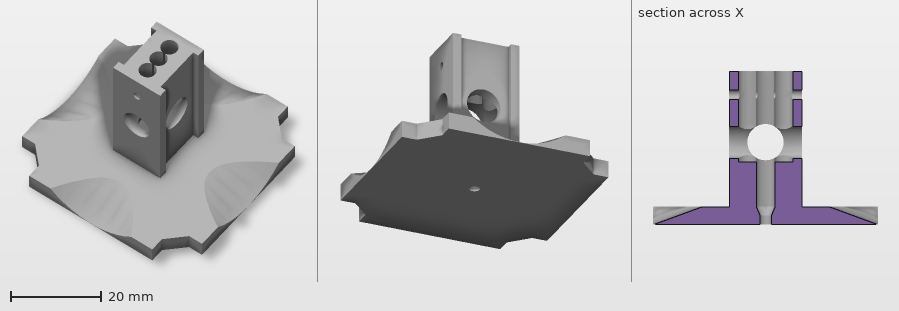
import cadquery as cq

plate_size = 49.8
plate_thickness = 4.0
corner_notch = 7.85
notch_shoulder = 3.6

scallop_rim_radius = 17.95
scallop_rim_depth = 3.95
scallop_length = 10.7

total_height = 34.0
tower_width = 13.05
tower_depth = 16.05
web_width = 10.15
flange_thickness = 2.05

side_hole_height = 18.25
side_hole_diameter_x = 8.0
side_hole_diameter_y = 7.0
pin_hole_diameter = 2.0
pin_hole_height = 28.75
top_hole_diameter = 4.05
top_hole_spacing = 4.0
top_hole_depth = 20.0
screw_hole_diameter = 2.4
countersink_depth = 2.0

half_plate = plate_size / 2
tower_height = total_height - plate_thickness


def make_plate():
    """Square plate with a stepped diagonal notch at each corner."""
    plate = cq.Workplane("XY").rect(plate_size, plate_size).extrude(plate_thickness)
    inner = half_plate - corner_notch
    shoulder = half_plate - notch_shoulder
    notch = (
        cq.Workplane("XY")
        .polyline([(half_plate, inner), (shoulder, inner), (inner, shoulder),
                   (inner, half_plate), (half_plate, half_plate)])
        .close()
        .extrude(plate_thickness)
    )
    for corner in range(4):
        plate = plate.cut(notch.rotate((0, 0, 0), (0, 0, 1), 90 * corner))
    return plate


def make_scallop():
    """Truncated cone, widest at the +X edge, that narrows to touch the plate's top face."""
    axis_height = plate_thickness + scallop_rim_radius - scallop_rim_depth
    cone = cq.Solid.makeCone(
        scallop_rim_radius,
        scallop_rim_radius - scallop_rim_depth,
        scallop_length,
        pnt=cq.Vector(half_plate, 0, axis_height),
        dir=cq.Vector(-1, 0, 0),
    )
    return cq.Workplane(cone)


def make_tower():
    """Post of I-shaped section, its flanges facing -Y and +Y."""
    groove_depth = (tower_width - web_width) / 2
    groove_width = tower_depth - 2 * flange_thickness
    tower = cq.Workplane("XY").rect(tower_width, tower_depth).extrude(total_height)
    for side in (-1, 1):
        groove = (
            cq.Workplane("XY")
            .workplane(offset=plate_thickness)
            .center(side * (tower_width - groove_depth) / 2, 0)
            .rect(groove_depth, groove_width)
            .extrude(tower_height)
        )
        tower = tower.cut(groove)
    return tower


def cross_hole(plane, diameter, height):
    """Horizontal through hole, centred on the tower."""
    return cq.Workplane(plane).center(0, height).circle(diameter / 2).extrude(half_plate, both=True)


def vertical_cylinder(diameter, bottom, top, y=0):
    return cq.Workplane("XY").workplane(offset=bottom).center(0, y).circle(diameter / 2).extrude(top - bottom)


plate = make_plate()
scallop = make_scallop()
for edge in range(4):
    plate = plate.cut(scallop.rotate((0, 0, 0), (0, 0, 1), 90 * edge))

result = plate.union(make_tower())

result = result.cut(cross_hole("YZ", side_hole_diameter_x, side_hole_height))
result = result.cut(cross_hole("XZ", side_hole_diameter_y, side_hole_height))
result = result.cut(cross_hole("XZ", pin_hole_diameter, pin_hole_height))

for y in (-top_hole_spacing, top_hole_spacing):
    result = result.cut(vertical_cylinder(top_hole_diameter, total_height - top_hole_depth, total_height, y))
result = result.cut(vertical_cylinder(top_hole_diameter, plate_thickness, total_height))
result = result.cut(vertical_cylinder(screw_hole_diameter, 0, plate_thickness))
countersink = cq.Solid.makeCone(
    screw_hole_diameter / 2,
    top_hole_diameter / 2,
    countersink_depth,
    pnt=cq.Vector(0, 0, plate_thickness - countersink_depth),
)
result = result.cut(cq.Workplane(countersink))